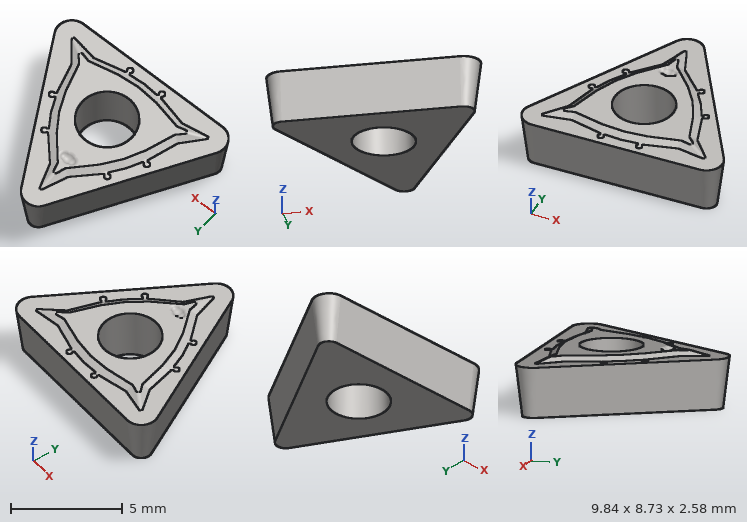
import cadquery as cq
import math

inscribed_radius = 3.175
corner_radius = 0.794
body_height = 2.38
clearance_angle = 7.0
hole_diameter = 2.9
corner_count = 3
corner_pitch = 360.0 / corner_count

island_height = 0.2
island_top = body_height + island_height
flank_blend_radius = 0.14
nose_half_width = 0.112
bend_x = 1.118
valley_x = 2.62
foot = {"mid": 2.574, "bend": 2.491, "valley": 2.13, "nose_side": 4.48, "nose_tip": 4.65}
crest = {"mid": 2.195, "bend": 2.10, "valley": 1.77, "nose_side": 3.54, "nose_tip": 3.669}

bead_x = 0.944
bead_distance = 2.698
bead_diameter = 0.284
neck_width = 0.18
bead_height = 0.03
neck_height = 0.016
neck_inset = 0.085
neck_fillet_radius = 0.18

dimple_distance = 2.68
dimple_wall_angle = 60.0
main_lobe_radius = 0.29
side_lobe_radius = 0.225
side_lobe_offset = 0.215
dimple_edge_radius = 0.16


def rotated(point, angle):
    """Turn a 2D point about the hole axis."""
    c = math.cos(math.radians(angle))
    s = math.sin(math.radians(angle))
    return (c * point[0] - s * point[1], s * point[0] + c * point[1])


def direction(start, end):
    """2D vector from start to end."""
    return (end[0] - start[0], end[1] - start[1])


def blended_corner(before, corner, after):
    """Start, middle and end of the arc that rounds a corner of the flank."""
    vertex = cq.Vector(*corner)
    back = (cq.Vector(*before) - vertex).normalized()
    ahead = (cq.Vector(*after) - vertex).normalized()
    half_angle = back.getAngle(ahead) / 2
    setback = flank_blend_radius / math.tan(half_angle)
    arc_gap = flank_blend_radius / math.sin(half_angle) - flank_blend_radius
    arc_middle = vertex + (back + ahead).normalized() * arc_gap
    points = (vertex + back * setback, arc_middle, vertex + ahead * setback)
    return [(p.x, p.y) for p in points]


def island_outline(level, z):
    """Closed outline of the island: three bulged edges joined by narrow noses."""
    left_nose = rotated((-nose_half_width, level["nose_side"]), corner_pitch)
    left_valley = (-valley_x, -level["valley"])
    left_bend = (-bend_x, -level["bend"])
    middle = (0, -level["mid"])
    right_bend = (bend_x, -level["bend"])
    right_valley = (valley_x, -level["valley"])
    right_nose = rotated((nose_half_width, level["nose_side"]), -corner_pitch)
    nose_tip = rotated((0, level["nose_tip"]), -corner_pitch)

    left_arc = blended_corner(left_nose, left_valley, left_bend)
    middle_arc = blended_corner(left_bend, middle, right_bend)
    right_arc = blended_corner(right_bend, right_valley, right_nose)
    next_edge_start = rotated(left_nose, corner_pitch)
    into_nose = direction(right_valley, right_nose)
    out_of_nose = rotated(direction(left_nose, left_valley), corner_pitch)

    outline = cq.Workplane("XY", origin=(0, 0, z)).moveTo(*left_nose)
    for index in range(corner_count):
        turn = index * corner_pitch
        for arc, flat_end in ((left_arc, left_bend), (middle_arc, right_bend), (right_arc, right_nose)):
            start, through, end = [rotated(p, turn) for p in arc]
            outline = outline.lineTo(*start).threePointArc(through, end)
            outline = outline.lineTo(*rotated(flat_end, turn))
        nose = [rotated(p, turn) for p in (nose_tip, next_edge_start)]
        tangents = [rotated(d, turn) for d in (into_nose, out_of_nose)]
        outline = outline.spline(nose, tangents=tangents, includeCurrent=True)
    return outline.wire().val()


def make_body():
    """Triangular prism narrowing toward the bottom, with conical corners."""
    core_circle = 2 * (inscribed_radius - corner_radius) / math.cos(math.pi / corner_count)
    return (
        cq.Workplane("XY", origin=(0, 0, body_height))
        .transformed(rotate=(0, 0, 90))
        .polygon(corner_count, core_circle)
        .offset2D(corner_radius)
        .extrude(-body_height, taper=clearance_angle)
    )


def make_island():
    """Raised island whose flanks are ruled between its foot and its crest."""
    wires = [island_outline(foot, body_height), island_outline(crest, island_top)]
    return cq.Workplane(cq.Solid.makeLoft(wires, True))


def cap_sphere_radius(half_width, height):
    """Radius of the circle whose cap has the given half width and height."""
    return (half_width**2 + height**2) / (2 * height)


def make_ball(radius, center):
    """Ball whose poles and seam lie level with its center."""
    return cq.Workplane("XZ").sphere(radius).translate(center)


def make_bead(x):
    """Ball that rises above the top face as a shallow dome."""
    dome_radius = cap_sphere_radius(bead_diameter / 2, bead_height)
    center_z = body_height + bead_height - dome_radius
    return make_ball(dome_radius, (x, -bead_distance, center_z))


def make_neck(x):
    """Round bar that links a bead to the flank, starting inside the bead's rim."""
    neck_radius = cap_sphere_radius(neck_width / 2, neck_height)
    center_z = body_height + neck_height - neck_radius
    start = bead_distance - neck_inset
    return (
        cq.Workplane("XZ", origin=(x, -start, center_z))
        .circle(neck_radius)
        .extrude(crest["mid"] - start)
    )


def neck_contact(x):
    """Selects the edge where a neck runs into the flank."""
    return cq.selectors.BoxSelector(
        (x - neck_width, -foot["mid"], body_height + neck_height / 10),
        (x + neck_width, -crest["bend"], body_height + 2 * neck_height),
    )


def add_beads(part):
    """Two necked beads on each edge; the part makes one full turn as edges are done."""
    for _ in range(corner_count):
        for x in (-bead_x, bead_x):
            part = part.union(make_neck(x))
            part = part.edges(neck_contact(x)).fillet(neck_fillet_radius)
            part = part.union(make_bead(x))
        part = part.rotate((0, 0, 0), (0, 0, 1), corner_pitch)
    return part


def make_lobe(rim_radius, x):
    """Ball that sinks a round dimple with the given rim radius into the island."""
    wall = math.radians(dimple_wall_angle)
    ball_radius = rim_radius / math.sin(wall)
    center_z = island_top + ball_radius * math.cos(wall)
    return make_ball(ball_radius, (x, dimple_distance, center_z))


def cut_dimple(part):
    """Three overlapping lobes with rounded rims and ridges."""
    part = part.cut(make_lobe(main_lobe_radius, 0))
    for x in (-side_lobe_offset, side_lobe_offset):
        part = part.cut(make_lobe(side_lobe_radius, x))
    reach = side_lobe_offset + side_lobe_radius
    rim = cq.selectors.BoxSelector(
        (-reach, dimple_distance - reach, body_height),
        (reach, dimple_distance + reach, island_top + island_height),
    )
    return part.edges(rim).fillet(dimple_edge_radius)


def cut_center_hole(part):
    """Straight through hole on the Z axis."""
    hole = cq.Workplane("XY").circle(hole_diameter / 2).extrude(island_top)
    return part.cut(hole)


insert = make_body().union(cut_dimple(make_island()))
result = cut_center_hole(add_beads(insert))